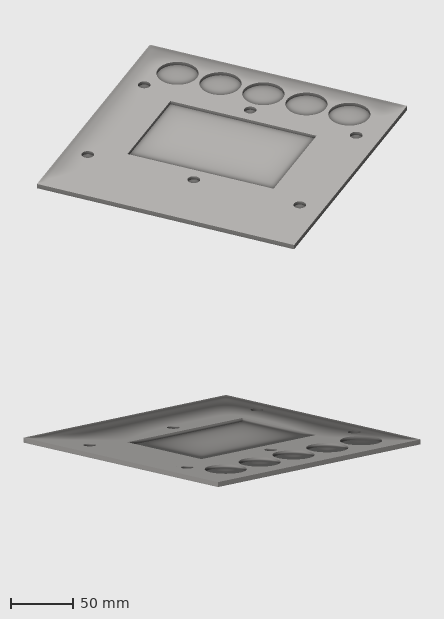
import cadquery as cq

plate_side = 226.0
plate_thickness = 4.0

recess_depth = 3.0

window_width = 128.4
window_height = 85.9

round_recess_diameter = 34.0
round_recess_count = 5
round_recess_pitch = 37.7
round_recess_y = 83.0

hole_diameter = 10.2
hole_pitch_x = 93.0
hole_pitch_y = 113.0
hole_columns = 3
hole_rows = 2


def make_plate():
    return cq.Workplane("XY").box(
        plate_side, plate_side, plate_thickness, centered=(True, True, False)
    )


def cut_window(body):
    return (
        body.faces(">Z")
        .workplane(origin=(0, 0, 0))
        .rect(window_width, window_height)
        .cutBlind(-recess_depth)
    )


def cut_round_recesses(body):
    return (
        body.faces(">Z")
        .workplane(origin=(0, round_recess_y, 0))
        .rarray(round_recess_pitch, 2.3, round_recess_count, 1)
        .circle(round_recess_diameter / 2)
        .cutBlind(-recess_depth)
    )


def cut_mounting_holes(body):
    return (
        body.faces(">Z")
        .workplane(origin=(0, 0, 0))
        .rarray(hole_pitch_x, hole_pitch_y, hole_columns, hole_rows)
        .circle(hole_diameter / 2)
        .cutBlind(-recess_depth)
    )


result = cut_mounting_holes(cut_round_recesses(cut_window(make_plate())))